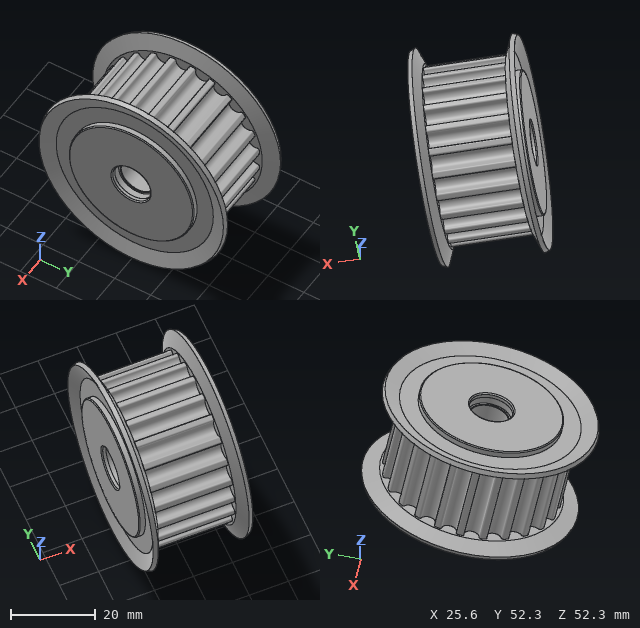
import cadquery as cq
import math

FULL_TURN = 360.0
overall_width = 25.6
half_width = overall_width / 2

tooth_count = 24
tooth_tip_radius = 21.55
toothed_half_width = 9.95
groove_radius = 1.85
groove_depth = 2.45
tooth_tip_fillet = 0.45

flange_radius = 26.15
flange_sheet = 1.25
flange_fold_radius = 22.15
flange_dish_angle = math.radians(22.5)

hub_radius = 17.4
hub_rim_chamfer = 0.25
hub_bore_chamfer = 0.3
hub_bore_radius = 5.3

ring_depth = 1.15
ring_outer_radius = 7.85

sleeve_bore_radius = 4.65
sleeve_outer_radius = ring_outer_radius
sleeve_chamfer = 0.15


def revolve_about_x(points):
    """Solid of revolution from a closed (x, radius) outline."""
    return cq.Workplane("XY").polyline(points).close().revolve(FULL_TURN, (0, 0, 0), (1, 0, 0))


def tube(x_start, x_end, outer_radius, inner_radius):
    """Plain tube along X."""
    return (
        cq.Workplane("YZ", origin=(x_start, 0, 0))
        .circle(outer_radius)
        .circle(inner_radius)
        .extrude(x_end - x_start)
    )


def on_both_ends(solid):
    """The solid at the +X end and its mirror image at the -X end."""
    return [solid, solid.mirror("YZ")]


def make_toothed_body():
    """Tube with round-bottomed belt grooves and rounded tooth tips."""
    body = tube(-toothed_half_width, toothed_half_width, tooth_tip_radius, sleeve_outer_radius)
    groove_floor_radius = tooth_tip_radius - groove_depth
    groove_centre_radius = groove_floor_radius + groove_radius
    grooves = (
        cq.Workplane("YZ", origin=(-toothed_half_width, 0, 0))
        .polarArray(groove_centre_radius, 0, FULL_TURN, tooth_count)
        .circle(groove_radius)
        .extrude(2 * toothed_half_width)
    )
    body = body.cut(grooves)
    tip_edges = [
        edge
        for edge in body.edges("|X").vals()
        if math.hypot(edge.Center().y, edge.Center().z) > groove_floor_radius
    ]
    return body.newObject(tip_edges).fillet(tooth_tip_fillet)


def make_flange():
    """Sheet-metal disc with a flat centre and a conical rim, at the +X end."""
    fold_x = toothed_half_width
    rim_x = fold_x + (flange_radius - flange_fold_radius) * math.tan(flange_dish_angle)
    outer_fold_radius = flange_fold_radius - flange_sheet * math.tan(flange_dish_angle / 2)
    rim_step_x = flange_sheet * math.cos(flange_dish_angle)
    rim_step_radius = flange_sheet * math.sin(flange_dish_angle)
    return revolve_about_x([
        (fold_x, hub_radius),
        (fold_x, flange_fold_radius),
        (rim_x, flange_radius),
        (rim_x + rim_step_x, flange_radius - rim_step_radius),
        (fold_x + flange_sheet, outer_fold_radius),
        (fold_x + flange_sheet, hub_radius),
    ])


def make_hub():
    """Disc standing on the toothed body inside the flange, recessed at the back for its ring."""
    hub = tube(toothed_half_width, half_width, hub_radius, hub_bore_radius)
    hub = hub.faces(">X").edges(cq.selectors.RadiusNthSelector(-1)).chamfer(hub_rim_chamfer)
    hub = hub.faces(">X").edges(cq.selectors.RadiusNthSelector(0)).chamfer(hub_bore_chamfer)
    return hub.cut(make_ring())


def make_ring():
    """Ring in the back of the hub, against the sleeve and flush with the hub bore."""
    return tube(toothed_half_width, half_width - ring_depth, ring_outer_radius, hub_bore_radius)


def make_sleeve():
    """Bore liner of the toothed body, chamfered at both ends of its bore."""
    sleeve = tube(-toothed_half_width, toothed_half_width, sleeve_outer_radius, sleeve_bore_radius)
    bore_rims = sleeve.edges(cq.selectors.RadiusNthSelector(0))
    return bore_rims.chamfer(sleeve_chamfer)


toothed_body = make_toothed_body()
flanges = on_both_ends(make_flange())
hubs = on_both_ends(make_hub())
rings = on_both_ends(make_ring())
sleeve = make_sleeve()

bodies = [toothed_body, *flanges, *hubs, *rings, sleeve]
result = cq.Compound.makeCompound([body.solids().val() for body in bodies])